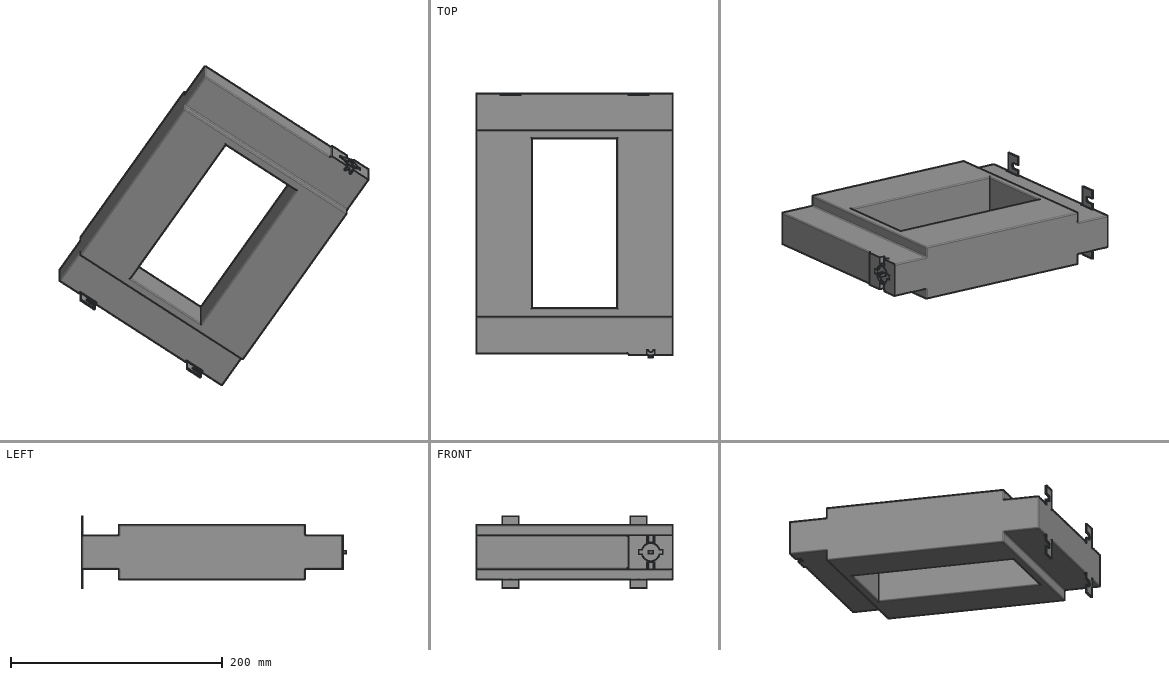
import cadquery as cq

body_width = 186.0
back_y = 125.0
tab_tip_y = -125.0
bracket_height = 68.0

core_height = 52.0
flange_height = 32.0
core_back_y = 90.0
core_front_y = -86.0
panel_y = -121.0
edge_radius = 1.0

window_width = 80.0
window_length = 160.0
window_center_y = 2.2

block_left_x = 51.2
block_y = -122.2

seal_x = 72.0
dial_radius = 8.5
dial_depth = 2.5
wing_span = 23.0
wing_height = 4.5
channel_width = 7.5
channel_depth = 5.0
channel_floor_z = 9.5
pin_radius = 2.2
tab_width = 4.8
tab_height = 2.8
tab_corner_radius = 1.0
wire_hole_diameter = 1.5
wire_hole_y = -123.8

bracket_x = 60.5
bracket_width = 15.8
bracket_thickness = 1.2
relief_width = 19.0
relief_length = 2.0
relief_depth = 1.0
slot_width = 5.5
slot_length = 9.5
slot_z = 23.2

half_width = body_width / 2
half_flange = flange_height / 2
dial_floor_y = block_y + dial_depth


def box(x_range, y_range, z_range):
    """Box between the given limits on each axis."""
    sizes = [high - low for low, high in (x_range, y_range, z_range)]
    corner = (x_range[0], y_range[0], z_range[0])
    return cq.Workplane("XY").box(*sizes, centered=False).translate(corner)


def centered(middle, size):
    """Limits of a length placed evenly about a middle value."""
    return (middle - size / 2, middle + size / 2)


def make_frame():
    """Core and flanges with every outer edge rounded, and the window with rounded rims."""
    x_range = centered(0, body_width)
    flanges = box(x_range, (panel_y, back_y), centered(0, flange_height))
    core = box(x_range, (core_front_y, core_back_y), centered(0, core_height))
    frame = flanges.union(core).edges().fillet(edge_radius)
    window = box(
        centered(0, window_width),
        centered(window_center_y, window_length),
        centered(0, core_height),
    )
    frame = frame.cut(window)
    rim_reach = window_length / 2 + edge_radius
    rims = cq.selectors.BoxSelector(
        (-window_width, window_center_y - rim_reach, -core_height),
        (window_width, window_center_y + rim_reach, core_height),
    )
    return frame.faces("<Z or >Z").edges(rims).fillet(edge_radius)


def make_block():
    """Raised block, blended into the front face by a concave quarter round."""
    step = panel_y - block_y
    inner_y = panel_y + edge_radius
    return (
        cq.Workplane("XY", origin=(0, 0, -half_flange))
        .moveTo(block_left_x, inner_y)
        .lineTo(block_left_x - step, inner_y)
        .lineTo(block_left_x - step, panel_y)
        .radiusArc((block_left_x, block_y), step)
        .lineTo(half_width, block_y)
        .lineTo(half_width, inner_y)
        .close()
        .extrude(flange_height)
        .faces(">X")
        .edges("|Y")
        .fillet(edge_radius)
    )


def make_channel(floor_z, end_z):
    """Slot in the block face between two heights, less a round pin half sunk in its back wall."""
    back_wall_y = block_y + channel_depth
    slot = box(centered(seal_x, channel_width), (block_y, back_wall_y), (floor_z, end_z))
    pin = (
        cq.Workplane("XY", origin=(seal_x, back_wall_y, floor_z))
        .circle(pin_radius)
        .extrude(end_z - floor_z)
    )
    return slot.cut(pin)


def cut_seal(body):
    """Winged dial recess, with a deeper channel open to the top and another to the bottom."""
    dial = cq.Workplane("XZ", origin=(seal_x, block_y, 0)).circle(dial_radius).extrude(-dial_depth)
    wings = box(
        centered(seal_x, wing_span), (block_y, dial_floor_y), centered(0, wing_height)
    )
    upper_channel = make_channel(channel_floor_z, half_flange)
    lower_channel = make_channel(-half_flange, -channel_floor_z)
    return body.cut(dial).cut(wings).cut(upper_channel).cut(lower_channel)


def make_tab():
    """Turning tab of the dial, with a wire hole through it along Z."""
    return (
        box(
            centered(seal_x, tab_width), (tab_tip_y, dial_floor_y), centered(0, tab_height)
        )
        .faces("<Y")
        .edges("|Z")
        .fillet(tab_corner_radius)
        .cut(
            cq.Workplane("XY", origin=(seal_x, wire_hole_y, -tab_height / 2))
            .circle(wire_hole_diameter / 2)
            .extrude(tab_height)
        )
    )


def make_bracket(center_x):
    """Flat bracket flush with the back face, with slots open to +X above and below the flange."""
    plate_y = (back_y - bracket_thickness, back_y)
    plate = box(centered(center_x, bracket_width), plate_y, centered(0, bracket_height))
    open_x = center_x + bracket_width / 2
    round_x = open_x - slot_length + slot_width / 2
    for z in (-slot_z, slot_z):
        slot = box((round_x, open_x), plate_y, centered(z, slot_width))
        slot_end = (
            cq.Workplane("XZ", origin=(round_x, back_y, z))
            .circle(slot_width / 2)
            .extrude(bracket_thickness)
        )
        plate = plate.cut(slot).cut(slot_end)
    return plate


def fit_bracket(body, center_x):
    """Shallow reliefs in the flange edges, with the bracket standing in them."""
    relief_x = centered(center_x, relief_width)
    relief_y = (back_y - relief_length, back_y)
    relief_floor_z = half_flange - relief_depth
    body = body.cut(box(relief_x, relief_y, (relief_floor_z, half_flange)))
    body = body.cut(box(relief_x, relief_y, (-half_flange, -relief_floor_z)))
    return body.union(make_bracket(center_x))


result = cut_seal(make_frame().union(make_block())).union(make_tab())
for bracket_center in (-bracket_x, bracket_x):
    result = fit_bracket(result, bracket_center)